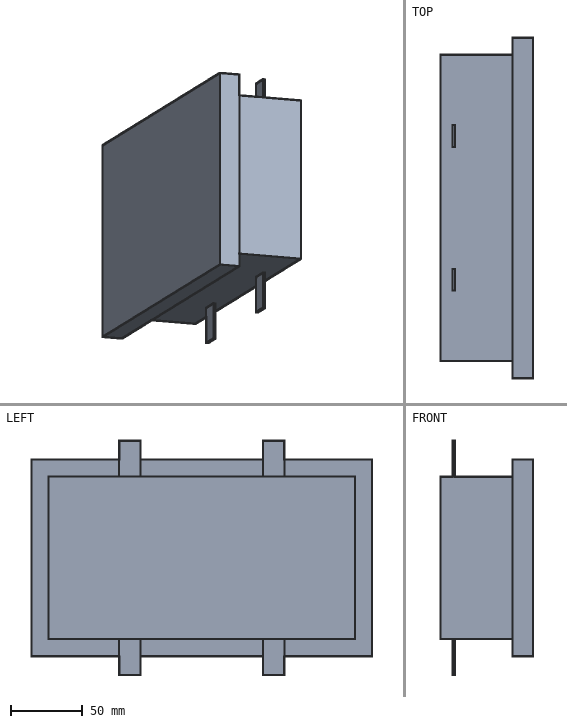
import cadquery as cq

bezel_width = 236.8
bezel_height = 136.8
bezel_thickness = 14.4

housing_depth = 50.0
housing_width = 213.0
housing_height = 113.0

tab_length = 25.0
tab_width = 15.0
tab_thickness = 1.5
tab_spacing = 100.0
tab_center_x = 9.25


def block_from(x_start, depth, width, height):
    """Box starting at x_start, centred on Y and Z."""
    return cq.Workplane("XY").box(depth, width, height, centered=(False, True, True)).translate((x_start, 0, 0))


def tab(side_y, side_z):
    """One tab standing on the housing top (side_z = 1) or bottom (side_z = -1)."""
    center_z = side_z * (housing_height + tab_length) / 2
    return (
        cq.Workplane("XY")
        .box(tab_thickness, tab_width, tab_length)
        .translate((tab_center_x, side_y * tab_spacing / 2, center_z))
    )


housing = block_from(0, housing_depth, housing_width, housing_height)
bezel = block_from(housing_depth, bezel_thickness, bezel_width, bezel_height)

result = housing.union(bezel)
for side_y in (-1, 1):
    for side_z in (-1, 1):
        result = result.union(tab(side_y, side_z))